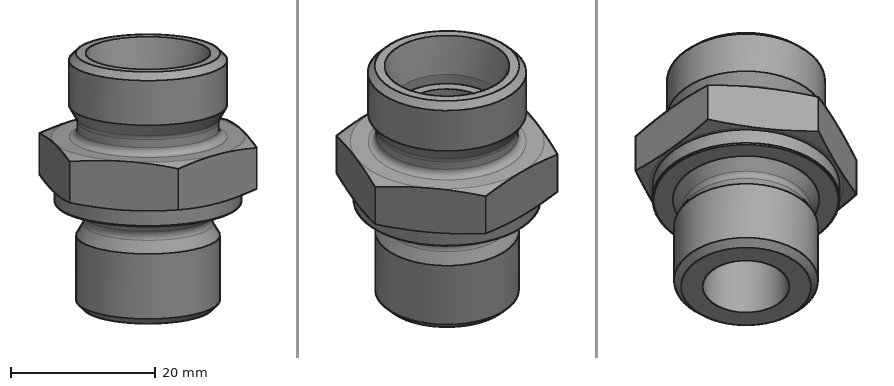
import cadquery as cq
import math

TOTAL_HEIGHT = 36.5
STUD_TOP = 10.33
COLLAR_BOTTOM = 15.0
HEX_BOTTOM = 17.45
HEX_TOP = 24.5
TUBE_END_BOTTOM = 29.1

HEX_WIDTH = 27.0
HEX_CHAMFER_DIAMETER = 26.95
HEX_CHAMFER_ANGLE = 15.0
COLLAR_RADIUS = 26.0 / 2
COLLAR_CHAMFER = 0.2
STUD_RADIUS = 20.0 / 2
TUBE_END_RADIUS = 22.0 / 2
END_CHAMFER = 1.0

FLANK_ANGLE = math.radians(30)
COLLAR_FLANK_ANGLE = math.radians(34)
FLANK_HEIGHT = 1.7
ARC_RADIUS = 1.25
NECK_RADIUS = 19.7 / 2
NECK_FILLET = 1.1

BORE_DIAMETER = 12.0
SOCKET_RADIUS = 15.0 / 2
MOUTH_RADIUS = 17.35 / 2
TAPER_ANGLE = math.radians(12)
SOCKET_DEPTH = 7.0

FLANK_INSET = FLANK_HEIGHT * math.tan(FLANK_ANGLE)
ARC_HALF_HEIGHT = ARC_RADIUS * math.sin(FLANK_ANGLE)


def arc_inset(angle):
    """Radial distance from the deepest point of the undercut arc."""
    return ARC_RADIUS * (1 - math.cos(angle))


def make_body():
    """Revolve the round outline of the stud, collar, neck and tube end."""
    stud_groove_radius = STUD_RADIUS - FLANK_INSET
    stud_arc_bottom = STUD_TOP + FLANK_HEIGHT
    stud_arc_middle = stud_arc_bottom + ARC_HALF_HEIGHT
    stud_arc_top = stud_arc_middle + ARC_HALF_HEIGHT
    upper_flank_inset = (COLLAR_BOTTOM - stud_arc_top) * math.tan(COLLAR_FLANK_ANGLE)

    tube_arc_top = TUBE_END_BOTTOM - FLANK_HEIGHT
    tube_arc_radius = NECK_RADIUS + arc_inset(FLANK_ANGLE)
    half_angle = FLANK_ANGLE / 2
    tube_arc_bottom = tube_arc_top - ARC_HALF_HEIGHT
    fillet_middle = NECK_FILLET * (1 - math.sqrt(0.5))

    profile = (
        cq.Workplane("XZ")
        .lineTo(STUD_RADIUS - END_CHAMFER, 0)
        .lineTo(STUD_RADIUS, END_CHAMFER)
        .lineTo(STUD_RADIUS, STUD_TOP)
        .lineTo(stud_groove_radius, stud_arc_bottom)
        .threePointArc(
            (stud_groove_radius - arc_inset(FLANK_ANGLE), stud_arc_middle),
            (stud_groove_radius, stud_arc_top),
        )
        .lineTo(stud_groove_radius + upper_flank_inset, COLLAR_BOTTOM)
        .lineTo(COLLAR_RADIUS - COLLAR_CHAMFER, COLLAR_BOTTOM)
        .lineTo(COLLAR_RADIUS, COLLAR_BOTTOM + COLLAR_CHAMFER)
        .lineTo(COLLAR_RADIUS, HEX_TOP)
        .lineTo(NECK_RADIUS + NECK_FILLET, HEX_TOP)
        .threePointArc(
            (NECK_RADIUS + fillet_middle, HEX_TOP + fillet_middle),
            (NECK_RADIUS, HEX_TOP + NECK_FILLET),
        )
        .lineTo(NECK_RADIUS, tube_arc_bottom)
        .threePointArc(
            (
                NECK_RADIUS + arc_inset(half_angle),
                tube_arc_bottom + ARC_RADIUS * math.sin(half_angle),
            ),
            (tube_arc_radius, tube_arc_top),
        )
        .lineTo(TUBE_END_RADIUS, TUBE_END_BOTTOM)
        .lineTo(TUBE_END_RADIUS, TOTAL_HEIGHT - END_CHAMFER)
        .lineTo(TUBE_END_RADIUS - END_CHAMFER, TOTAL_HEIGHT)
        .lineTo(0, TOTAL_HEIGHT)
        .close()
    )
    return profile.revolve(360, (0, 0), (0, 1))


def make_hexagon():
    """Hexagon with corners on the Y axis, chamfered by a cone at both ends."""
    corner_radius = HEX_WIDTH / math.sqrt(3)
    flat_radius = HEX_CHAMFER_DIAMETER / 2
    corner_drop = (corner_radius - flat_radius) * math.tan(math.radians(HEX_CHAMFER_ANGLE))
    hexagon = (
        cq.Workplane("XY", origin=(0, 0, HEX_BOTTOM))
        .transformed(rotate=(0, 0, 90))
        .polygon(6, 2 * corner_radius)
        .extrude(HEX_TOP - HEX_BOTTOM)
    )
    envelope = (
        cq.Workplane("XZ")
        .moveTo(0, HEX_BOTTOM)
        .lineTo(flat_radius, HEX_BOTTOM)
        .lineTo(corner_radius, HEX_BOTTOM + corner_drop)
        .lineTo(corner_radius, HEX_TOP - corner_drop)
        .lineTo(flat_radius, HEX_TOP)
        .lineTo(0, HEX_TOP)
        .close()
        .revolve(360, (0, 0), (0, 1))
    )
    return hexagon.intersect(envelope)


def make_cavity():
    """Through bore that opens into a flat-bottomed socket with a tapered mouth."""
    bore = cq.Workplane("XY").circle(BORE_DIAMETER / 2).extrude(TOTAL_HEIGHT)
    socket_floor = TOTAL_HEIGHT - SOCKET_DEPTH
    taper_depth = (MOUTH_RADIUS - SOCKET_RADIUS) / math.tan(TAPER_ANGLE)
    socket = (
        cq.Workplane("XZ")
        .moveTo(0, socket_floor)
        .lineTo(SOCKET_RADIUS, socket_floor)
        .lineTo(SOCKET_RADIUS, TOTAL_HEIGHT - taper_depth)
        .lineTo(MOUTH_RADIUS, TOTAL_HEIGHT)
        .lineTo(0, TOTAL_HEIGHT)
        .close()
        .revolve(360, (0, 0), (0, 1))
    )
    return bore.union(socket)


result = make_body().union(make_hexagon()).cut(make_cavity())